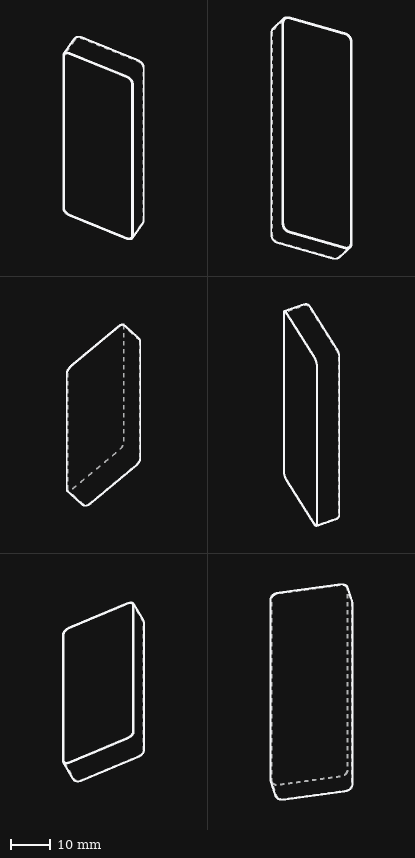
import cadquery as cq

width = 20.3
depth = 6.7
height = 64.3

wall = 0.3
corner_radius = 2.0
floor_edge_radius = 1.0


def rounded_block(inset):
    """Tray envelope moved inward by inset on every side except the open front."""
    block = cq.Workplane("XY").box(width - 2 * inset, depth - inset, height - 2 * inset)
    block = block.translate((0, -inset / 2, 0))
    block = block.edges("|Y").fillet(corner_radius - inset)
    return block.faces(">Y").edges().fillet(floor_edge_radius - inset)


result = rounded_block(0).cut(rounded_block(wall))